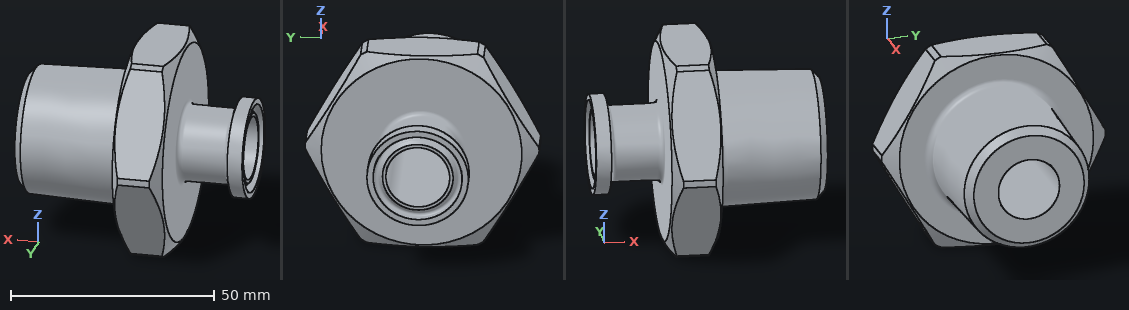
import cadquery as cq
import math

flange_thickness = 3.75
hex_start = 17.25
hex_thickness = 12.6
hex_end = hex_start + hex_thickness
thread_start = 32.05
total_length = 57.15

bore_diameter = 15.75
neck_diameter = 19.0
flange_diameter = 25.0
thread_diameter = 33.7
hex_across_flats = 50.8
hex_corner_diameter = 57.65
hex_sides = 6
hex_half_sector = math.pi / hex_sides

flange_back_angle = math.radians(20)
flange_back_fillet = 0.75
neck_fillet = 1.45

thread_fillet = 1.7
thread_chamfer = 1.9
thread_radius_slope = 1 / 32

hex_chamfer_angle = math.radians(30)
hex_front_circle = 49.5
hex_back_circle = 50.0

groove_outer_diameter = 21.9
groove_floor_diameter = 19.0
lip_diameter = 17.4
groove_wall_depth = 1.25
groove_inner_wall_depth = 1.6
groove_depth = 2.1
lip_recess = 0.75


def revolve_about_x(profile):
    return profile.close().revolve(360, (0, 0, 0), (1, 0, 0))


def make_clamp_end():
    """Clamp flange with a conical back that blends into the neck."""
    flange_radius = flange_diameter / 2
    neck_radius = neck_diameter / 2
    cone_end = flange_thickness + (flange_radius - neck_radius) * math.tan(flange_back_angle)
    body = revolve_about_x(
        cq.Workplane("XY")
        .lineTo(0, flange_radius)
        .lineTo(flange_thickness, flange_radius)
        .lineTo(cone_end, neck_radius)
        .lineTo(hex_start, neck_radius)
        .lineTo(hex_start, 0)
    )
    cone_neck_edge = cq.NearestToPointSelector((cone_end, 0, 0))
    return body.edges("%CIRCLE").edges(cone_neck_edge).fillet(flange_back_fillet)


def make_hexagon():
    """Hexagon with flats facing +Z and -Z, its corners rounded and chamfered."""
    prism = (
        cq.Workplane("YZ", origin=(hex_start, 0, 0))
        .polygon(hex_sides, hex_across_flats / math.cos(hex_half_sector))
        .extrude(hex_thickness)
    )
    corner_radius = hex_corner_diameter / 2
    front_radius = hex_front_circle / 2
    back_radius = hex_back_circle / 2
    front_chamfer = (corner_radius - front_radius) * math.tan(hex_chamfer_angle)
    back_chamfer = (corner_radius - back_radius) * math.tan(hex_chamfer_angle)
    envelope = revolve_about_x(
        cq.Workplane("XY")
        .moveTo(hex_start, 0)
        .lineTo(hex_start, front_radius)
        .lineTo(hex_start + front_chamfer, corner_radius)
        .lineTo(hex_end - back_chamfer, corner_radius)
        .lineTo(hex_end, back_radius)
        .lineTo(hex_end, 0)
    )
    return prism.intersect(envelope)


def make_thread_end():
    """Short cylinder followed by the taper and its end chamfer."""
    large_radius = thread_diameter / 2
    chamfer_start = total_length - thread_chamfer
    small_radius = large_radius - (chamfer_start - thread_start) * thread_radius_slope
    return revolve_about_x(
        cq.Workplane("XY")
        .moveTo(hex_end, 0)
        .lineTo(hex_end, large_radius)
        .lineTo(thread_start, large_radius)
        .lineTo(chamfer_start, small_radius)
        .lineTo(total_length, small_radius - thread_chamfer)
        .lineTo(total_length, 0)
    )


def make_root_flare(face_x, shaft_radius, fillet_radius, direction):
    """Concave ring between a shaft and a hexagon face; direction points away from the face."""
    tangent_x = face_x + direction * fillet_radius
    outer_radius = shaft_radius + fillet_radius
    arc_offset = fillet_radius * (1 - math.sqrt(0.5))
    return revolve_about_x(
        cq.Workplane("XY")
        .moveTo(face_x, 0)
        .lineTo(face_x, outer_radius)
        .threePointArc(
            (face_x + direction * arc_offset, shaft_radius + arc_offset),
            (tangent_x, shaft_radius),
        )
        .lineTo(tangent_x, 0)
    )


def make_groove():
    """Gasket groove: straight outer wall, rounded floor, and cone up to a recessed lip."""
    outer_radius = groove_outer_diameter / 2
    floor_radius = groove_floor_diameter / 2
    lip_radius = lip_diameter / 2
    middle_radius = (outer_radius + floor_radius) / 2
    return revolve_about_x(
        cq.Workplane("XY")
        .lineTo(0, outer_radius)
        .lineTo(groove_wall_depth, outer_radius)
        .threePointArc((groove_depth, middle_radius), (groove_inner_wall_depth, floor_radius))
        .lineTo(lip_recess, lip_radius)
        .lineTo(lip_recess, 0)
    )


bore = cq.Workplane("YZ").circle(bore_diameter / 2).extrude(total_length)

result = (
    make_clamp_end()
    .union(make_hexagon())
    .union(make_thread_end())
    .union(make_root_flare(hex_start, neck_diameter / 2, neck_fillet, -1))
    .union(make_root_flare(hex_end, thread_diameter / 2, thread_fillet, 1))
    .cut(make_groove())
    .cut(bore)
)